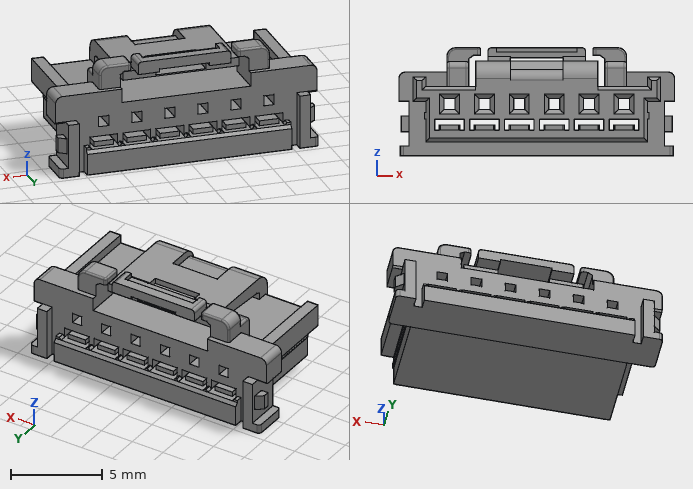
import cadquery as cq
import math


contact_count = 6
contact_row_length = 9.55
pitch = contact_row_length / (contact_count - 1)
contact_xs = [(i - (contact_count - 1) / 2) * pitch for i in range(contact_count)]

body_half = 6.07
body_bottom = 0.77
deck_z = 3.81
front_chamfer = 0.2
ear_half = 6.77
ear_bottom = 2.98
ear_top = 4.32
side_rib_height = 0.06
side_rib_bottom = 2.01
side_rib_top = 2.37

flange_front = 5.14
flange_back = 6.68
flange_half = 7.55
flange_bottom = ear_bottom
flange_top = 4.6
flange_corner_radius = 0.38
flange_rear_chamfer = 0.1
flange_gap_half = 3.72
rear_back = 7.22
rear_half = 7.0
rear_top = 3.08
foot_half = 7.48
foot_height = 0.55
foot_corner_radius = 0.2
rear_slot_inner = 5.91
rear_slot_outer = 6.38

bump_half = 7.42
bump_bottom = 1.31
bump_top = 2.19
bump_front = 6.3
bump_flat_end = 6.66
bump_back = 7.0

pin_hole_size = 0.59
pin_hole_z = 2.84
pin_mouth_size = 1.09
pin_mouth_depth = 0.24
window_width = 1.6
window_floor = 1.4
window_top = 2.0
stop_width = 1.13
stop_chamfer = 0.08
stop_top = 1.69

divider_base = 0.33
divider_tip = 0.08
divider_height = 0.14
rear_edge_bevel = 0.18

arm_width = 6.7
arm_half = arm_width / 2
arm_top = 5.2
arm_front_radius = 0.95
arm_back = 5.73
arm_root_depth = 0.83
arm_root_top = 4.22
arm_under_front_y = 1.06
arm_under_front_z = 4.34
arm_under_back_z = 4.7
recess_width = 2.89
recess_half = recess_width / 2
front_recess_floor = 4.73
front_recess_radius = 0.59
front_recess_slope_start = 1.78
front_recess_back = 2.15
rear_recess_floor = 4.87
rear_recess_deep_floor = 4.77
rear_recess_front = 3.91
rear_recess_step = 4.6

bar_half = 2.67
bar_top = 5.92
bar_back = 6.38
bar_corner_radius = 0.2
bar_underpass_top = 5.36
bar_ramp_start = 4.45
bar_ramp_top = 5.44
bar_notch_width = 4.43
bar_notch_half = bar_notch_width / 2
bar_notch_back = 5.79
bar_notch_depth = 0.24

hook_outer = 4.93
hook_inner = flange_gap_half
hook_tip = 3.07
hook_corner_radius = 0.5
hook_tip_bottom = 5.5
hook_gusset_x = 3.46
hook_gusset_z = 5.32
hook_edge_radius = 0.1
hook_tip_radius = 0.17
step_front = 4.19
step_top = 5.17
step_front_radius = 0.36
step_edge_radius = 0.15


def block(x_min, x_max, y_min, y_max, z_min, z_max):
    size = (x_max - x_min, y_max - y_min, z_max - z_min)
    return cq.Workplane("XY").box(*size, centered=False).translate((x_min, y_min, z_min))


def centred_block(half_width, y_min, y_max, z_min, z_max):
    return block(-half_width, half_width, y_min, y_max, z_min, z_max)


def prism_along_y(points, y_min, y_max):
    """Extrude an outline of (x, z) points from y_min to y_max."""
    outline = cq.Workplane("XZ", origin=(0, y_min, 0)).polyline(points).close()
    return outline.extrude(y_min - y_max)


def prism_along_x(points, x_min, x_max):
    """Extrude an outline of (y, z) points from x_min to x_max."""
    outline = cq.Workplane("YZ", origin=(x_min, 0, 0)).polyline(points).close()
    return outline.extrude(x_max - x_min)


def arc_middle_offset(radius):
    """Distance from either side of a rounded square corner to the middle of its arc."""
    return radius * (1 - math.sqrt(0.5))


def both_sides(left_solid):
    return left_solid.union(left_solid.mirror("YZ"))


def make_front_body():
    right_outline = [
        (body_half, body_bottom),
        (body_half, ear_bottom),
        (ear_half, ear_bottom),
        (ear_half, ear_top),
        (body_half, ear_top),
        (body_half, deck_z),
    ]
    left_outline = [(-x, z) for x, z in reversed(right_outline)]
    body = prism_along_y(right_outline + left_outline, 0, flange_back)
    return body.faces("<Y").edges().chamfer(front_chamfer)


def make_side_ribs():
    outline = [
        (-body_half, flange_front),
        (-body_half, front_chamfer),
        (-body_half - side_rib_height, front_chamfer + side_rib_height),
        (-body_half - side_rib_height, flange_front),
    ]
    rib = cq.Workplane("XY", origin=(0, 0, side_rib_bottom)).polyline(outline).close()
    return both_sides(rib.extrude(side_rib_top - side_rib_bottom))


def make_flange():
    flange = centred_block(flange_half, flange_front, flange_back, flange_bottom, flange_top)
    flange = flange.edges("|Y and >Z").fillet(flange_corner_radius)
    flange = flange.edges(">Y and <Z").chamfer(flange_rear_chamfer)
    gap = centred_block(flange_gap_half, flange_front, flange_back, deck_z, flange_top)
    return flange.cut(gap)


def make_rear_block():
    block_body = centred_block(rear_half, flange_front, rear_back, 0, rear_top)
    foot = centred_block(foot_half, flange_front, rear_back, 0, foot_height)
    foot = foot.edges("|Z").fillet(foot_corner_radius)
    block_body = block_body.union(foot)
    open_middle = centred_block(rear_slot_inner, flange_back, rear_back, window_floor, rear_top)
    slot = block(-rear_slot_outer, -rear_slot_inner, flange_back, rear_back, 0, rear_top)
    bevel = prism_along_x(
        [
            (rear_back, window_floor),
            (rear_back - rear_edge_bevel, window_floor),
            (rear_back, window_floor - rear_edge_bevel),
        ],
        -rear_slot_inner,
        rear_slot_inner,
    )
    return block_body.cut(open_middle).cut(both_sides(slot)).cut(bevel)


def make_side_bumps():
    outline = [
        (-rear_half, bump_front),
        (-bump_half, bump_front),
        (-bump_half, bump_flat_end),
        (-rear_half, bump_back),
    ]
    bump = cq.Workplane("XY", origin=(0, 0, bump_bottom)).polyline(outline).close()
    return both_sides(bump.extrude(bump_top - bump_bottom))


def make_rear_dividers():
    """Low dividers with sloping flanks, left between pockets that continue the windows."""
    y_end = rear_back - rear_edge_bevel
    divider_top = window_floor + divider_height
    dividers = centred_block(rear_slot_inner, flange_back, y_end, window_floor, divider_top)
    half_floor = (pitch - divider_base) / 2
    half_mouth = (pitch - divider_tip) / 2
    for x in contact_xs:
        pocket = [
            (x - half_floor, window_floor),
            (x + half_floor, window_floor),
            (x + half_mouth, divider_top),
            (x - half_mouth, divider_top),
        ]
        dividers = dividers.cut(prism_along_y(pocket, flange_back, y_end))
    return dividers


def make_cavity(x):
    """Square pin hole with a tapered mouth, above a wide window with a stop on its floor."""
    half_hole = pin_hole_size / 2
    hole = block(
        x - half_hole, x + half_hole, 0, rear_back, pin_hole_z - half_hole, pin_hole_z + half_hole
    )
    mouth = (
        cq.Workplane("XZ", origin=(x, 0, pin_hole_z))
        .rect(pin_mouth_size, pin_mouth_size)
        .workplane(offset=-pin_mouth_depth)
        .rect(pin_hole_size, pin_hole_size)
        .loft(ruled=True)
    )
    half_window = window_width / 2
    window = block(x - half_window, x + half_window, 0, flange_back, window_floor, window_top)
    half_stop = stop_width / 2
    stop = block(x - half_stop, x + half_stop, flange_front, flange_back, window_floor, stop_top)
    stop = stop.edges("|Z and <Y").chamfer(stop_chamfer)
    return hole.union(mouth).union(window.cut(stop))


def make_latch_arm():
    curve_end_z = arm_top - arm_front_radius
    curve_mid = arc_middle_offset(arm_front_radius)
    side = (
        cq.Workplane("YZ", origin=(-arm_half, 0, 0))
        .moveTo(0, deck_z - front_chamfer)
        .lineTo(0, curve_end_z)
        .threePointArc((curve_mid, arm_top - curve_mid), (arm_front_radius, arm_top))
        .lineTo(arm_back, arm_top)
        .lineTo(arm_back, arm_under_back_z)
        .lineTo(arm_under_front_y, arm_under_front_z)
        .lineTo(arm_root_depth, arm_root_top)
        .lineTo(arm_root_depth, deck_z - front_chamfer)
        .close()
    )
    return side.extrude(2 * arm_half)


def make_thumb_bar():
    bar = centred_block(bar_half, flange_front, bar_back, arm_top, bar_top)
    bar = bar.edges("|Y and >Z").fillet(bar_corner_radius)
    ramp = prism_along_x(
        [(bar_ramp_start, arm_top), (flange_front, arm_top), (flange_front, bar_ramp_top)],
        -bar_half,
        bar_half,
    )
    notch = centred_block(
        bar_notch_half, flange_front, bar_notch_back, bar_top - bar_notch_depth, bar_top
    )
    return bar.cut(notch).union(ramp)


def make_front_recess():
    """Recess across the rounded nose of the arm, with a smaller round of its own."""
    curve_end_z = front_recess_floor - front_recess_radius
    curve_mid = arc_middle_offset(front_recess_radius)
    side = (
        cq.Workplane("YZ", origin=(-recess_half, 0, 0))
        .moveTo(0, curve_end_z)
        .threePointArc(
            (curve_mid, front_recess_floor - curve_mid), (front_recess_radius, front_recess_floor)
        )
        .lineTo(front_recess_slope_start, front_recess_floor)
        .lineTo(front_recess_back, arm_top)
        .lineTo(0, arm_top)
        .close()
    )
    return side.extrude(2 * recess_half)


def make_rear_recess():
    """Stepped recess that passes under the thumb bar and opens at the rear."""
    points = [
        (rear_recess_front, rear_recess_floor),
        (rear_recess_step, rear_recess_floor),
        (rear_recess_step, rear_recess_deep_floor),
        (bar_back, rear_recess_deep_floor),
        (bar_back, bar_underpass_top),
        (flange_front, bar_underpass_top),
        (flange_front, bar_ramp_top),
        (rear_recess_front, bar_ramp_top),
    ]
    return prism_along_x(points, -recess_half, recess_half)


def make_guard_hooks():
    """Hooks bent over towards the latch arm, each with a lower step in front."""
    corner_mid = arc_middle_offset(hook_corner_radius)
    hook = (
        cq.Workplane("XZ", origin=(0, flange_front, 0))
        .moveTo(-hook_outer, deck_z)
        .lineTo(-hook_outer, bar_top - hook_corner_radius)
        .threePointArc(
            (-hook_outer + corner_mid, bar_top - corner_mid),
            (-hook_outer + hook_corner_radius, bar_top),
        )
        .lineTo(-hook_tip, bar_top)
        .lineTo(-hook_tip, hook_tip_bottom)
        .lineTo(-hook_gusset_x, hook_tip_bottom)
        .lineTo(-hook_inner, hook_gusset_z)
        .lineTo(-hook_inner, deck_z)
        .close()
        .extrude(flange_front - bar_back)
    )
    hook = hook.edges("|Z and >X").fillet(hook_tip_radius)
    outer_edges = hook.faces("<X or >Z").edges("<Y or >Y")
    hook = outer_edges.fillet(hook_edge_radius)
    step = block(-hook_outer, -hook_inner, step_front, bar_back, deck_z, step_top)
    step = step.edges("|X and <Y and >Z").fillet(step_front_radius)
    step = step.faces("<Y").edges("<X or >X").fillet(step_edge_radius)
    step_back = flange_front + hook_edge_radius
    step_space = block(-hook_outer, -hook_inner, step_front, step_back, deck_z, step_top)
    return both_sides(hook.union(step.intersect(step_space)))


latch = make_latch_arm().union(make_thumb_bar()).cut(make_front_recess()).cut(make_rear_recess())

result = (
    make_front_body()
    .union(make_side_ribs())
    .union(make_flange())
    .union(make_rear_block())
    .union(make_side_bumps())
    .union(make_guard_hooks())
    .union(latch)
)
for contact_x in contact_xs:
    result = result.cut(make_cavity(contact_x))
result = result.union(make_rear_dividers())